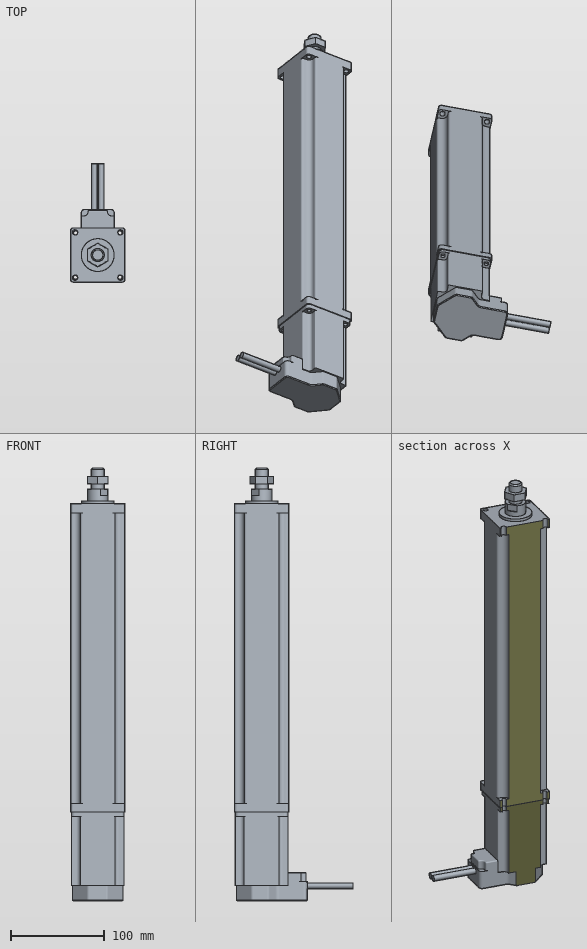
import cadquery as cq
import math

overall_height = 461.5
cap_height = 16.5
motor_length = 78.5
housing_length = 328.5
boss_height = 3.0
motor_bottom = cap_height
joint_level = motor_bottom + motor_length
housing_top = joint_level + housing_length
rod_bottom = housing_top + boss_height

housing_width = 58.0
top_plate_thickness = 10.0
bottom_plate_thickness = 9.0
plate_corner_radius = 3.0
housing_groove_offset = 24.25
housing_groove_radius = 5.7
housing_edge_radius = 2.5
top_hole_diameter = 5.5
boss_diameter = 35.0

motor_width = 56.4
motor_flange_thickness = 5.0
motor_corner_radius = 4.0
motor_hole_offset = 47.14 / 2
motor_hole_diameter = 4.5
motor_groove_offset = 22.6
motor_groove_radius = 4.0
motor_edge_radius = 1.0

cap_half_width = 27.0
cap_corner_cut = 16.7
cap_rear_cut_start = 7.5
cap_edge_radius = 3.25
cap_neck_radius = 5.5
connector_half_width = 17.7
connector_rear = 48.8
connector_height = 30.3
connector_corner_radius = 4.0
connector_edge_radius = 1.4
bottom_chamfer = 1.0
notch_floor = 20.7
notch_inner_x = 10.4
notch_front = 41.8
notch_radius = 4.0
ledge_depth = 1.4

cable_end = 97.32
cable_diameter = 6.5
cable_pitch = 7.35
cable_level = 16.2

rod_diameter = 22.0
rod_shoulder_height = 12.5
thread_diameter = 14.0
thread_chamfer = 1.5
flat_width = 19.0
flat_height = 7.0
flat_angle = 135.0
nut_width = 22.0
nut_thickness = 8.0
nut_gap = 5.5
nut_angle = 30.0


def box_between(x_min, x_max, y_min, y_max, z_min, z_max):
    """Axis-aligned box given by its limits."""
    box = cq.Workplane("XY").box(x_max - x_min, y_max - y_min, z_max - z_min, centered=False)
    return box.translate((x_min, y_min, z_min))


def square_prism(width, bottom, height):
    """Square block centred on the axis."""
    return cq.Workplane("XY").workplane(offset=bottom).rect(width, width).extrude(height)


def corner_points(offset):
    """The four points at +-offset in X and Y."""
    return [(sx * offset, sy * offset) for sx in (-1, 1) for sy in (-1, 1)]


def corner_grooves(width, groove_offset, groove_radius, edge_radius, bottom, height):
    """Material missing from the four corners of a square profile, to let the corner screws in."""
    half = width / 2
    wall = groove_offset - groove_radius
    outer = half + edge_radius
    diagonal = groove_offset - groove_radius * math.sqrt(0.5)
    groove = (
        cq.Workplane("XY").workplane(offset=bottom)
        .moveTo(wall - edge_radius, half)
        .radiusArc((wall, half - edge_radius), edge_radius)
        .lineTo(wall, groove_offset)
        .threePointArc((diagonal, diagonal), (groove_offset, wall))
        .lineTo(half - edge_radius, wall)
        .radiusArc((half, wall - edge_radius), edge_radius)
        .lineTo(outer, wall - edge_radius)
        .lineTo(outer, outer)
        .lineTo(wall - edge_radius, outer)
        .close()
        .extrude(height)
    )
    grooves = groove
    for turn in (90, 180, 270):
        grooves = grooves.union(groove.rotate((0, 0, 0), (0, 0, 1), turn))
    return grooves


def mirrored_vertical_edges(points):
    """Selector for the vertical edges at these (x, y) points and at their mirror images in X."""
    reach = 0.1
    selector = None
    for x, y in points:
        for px in (-x, x):
            low = (px - reach, y - reach, 0)
            high = (px + reach, y + reach, overall_height)
            box = cq.selectors.BoxSelector(low, high)
            selector = box if selector is None else selector + box
    return selector


def make_housing():
    """Extruded cylinder housing with square end plates and a round boss on top."""
    top_plate_bottom = housing_top - top_plate_thickness
    bottom_plate_top = joint_level + bottom_plate_thickness

    housing = square_prism(housing_width, joint_level, housing_length)
    housing = housing.edges("|Z").fillet(plate_corner_radius)
    housing = housing.cut(corner_grooves(
        housing_width, housing_groove_offset, housing_groove_radius, housing_edge_radius,
        bottom_plate_top, top_plate_bottom - bottom_plate_top))

    top_holes = (
        cq.Workplane("XY").workplane(offset=top_plate_bottom)
        .pushPoints(corner_points(housing_groove_offset))
        .circle(top_hole_diameter / 2).extrude(top_plate_thickness)
    )
    bottom_holes = (
        cq.Workplane("XY").workplane(offset=joint_level)
        .pushPoints(corner_points(motor_hole_offset))
        .circle(motor_hole_diameter / 2).extrude(bottom_plate_thickness)
    )
    boss = cq.Workplane("XY").workplane(offset=housing_top).circle(boss_diameter / 2).extrude(boss_height)
    return housing.cut(top_holes).cut(bottom_holes).union(boss)


def make_motor_body():
    """Square motor body with a mounting flange at its top end."""
    flange_bottom = joint_level - motor_flange_thickness
    body = square_prism(motor_width, motor_bottom, motor_length)
    body = body.edges("|Z").fillet(motor_corner_radius)
    body = body.cut(corner_grooves(
        motor_width, motor_groove_offset, motor_groove_radius, motor_edge_radius,
        motor_bottom, flange_bottom - motor_bottom))
    holes = (
        cq.Workplane("XY").workplane(offset=flange_bottom)
        .pushPoints(corner_points(motor_hole_offset))
        .circle(motor_hole_diameter / 2).extrude(motor_flange_thickness)
    )
    return body.cut(holes)


def make_cap():
    """End cap with 45 degree corners, running straight into the lower part of the connector."""
    front_corner = cap_half_width - cap_corner_cut
    neck_y = cap_rear_cut_start + cap_half_width - connector_half_width
    right_side = [
        (front_corner, -cap_half_width),
        (cap_half_width, -front_corner),
        (cap_half_width, cap_rear_cut_start),
        (connector_half_width, neck_y),
        (connector_half_width, connector_rear),
    ]
    left_side = [(-x, y) for x, y in reversed(right_side)]
    cap = cq.Workplane("XY").polyline(right_side + left_side).close().extrude(cap_height)

    cap = cap.edges(mirrored_vertical_edges(right_side[:3])).fillet(cap_edge_radius)
    cap = cap.edges(mirrored_vertical_edges(right_side[3:4])).fillet(cap_neck_radius)
    cap = cap.edges(mirrored_vertical_edges(right_side[4:])).fillet(connector_corner_radius)
    return cap.faces("<Z").edges().chamfer(bottom_chamfer)


def make_connector_top():
    """Upper part of the connector, standing on the cap against the rear of the motor."""
    motor_rear = motor_width / 2
    upper_rear = connector_rear - ledge_depth
    lower = box_between(-connector_half_width, connector_half_width, motor_rear, connector_rear,
                        cap_height, notch_floor)
    lower = lower.edges("|Z and >Y").fillet(connector_corner_radius)
    upper = box_between(-connector_half_width, connector_half_width,
                        motor_rear, upper_rear, notch_floor, connector_height)
    notch = box_between(notch_inner_x, connector_half_width + notch_radius,
                        notch_front, connector_rear, notch_floor, connector_height)
    notch = notch.edges("|Z and <X and <Y").fillet(notch_radius)
    upper = upper.cut(notch).cut(notch.mirror("YZ"))

    notch_corners = [(notch_inner_x, upper_rear), (connector_half_width, notch_front)]
    upper = upper.edges(mirrored_vertical_edges(notch_corners)).fillet(connector_edge_radius)
    upper = upper.faces(">Z").edges("not <Y").fillet(connector_edge_radius)
    return lower.union(upper)


def make_cables():
    """Two parallel cables leaving the rear of the connector."""
    start = connector_rear - ledge_depth
    return (
        cq.Workplane("XZ", origin=(0, start, cable_level))
        .pushPoints([(-cable_pitch / 2, 0), (cable_pitch / 2, 0)])
        .circle(cable_diameter / 2).extrude(start - cable_end)
    )


def make_motor():
    """Motor with its end cap, connector and cables."""
    return make_motor_body().union(make_cap()).union(make_connector_top()).union(make_cables())


def make_rod():
    """Piston rod with wrench flats, a threaded end and its lock nut."""
    shoulder_level = rod_bottom + rod_shoulder_height
    nut_bottom = shoulder_level + nut_gap

    shoulder = cq.Workplane("XY").workplane(offset=rod_bottom).circle(rod_diameter / 2)
    shoulder = shoulder.extrude(rod_shoulder_height)

    flat_bottom = shoulder_level - flat_height
    ring = cq.Workplane("XY").workplane(offset=flat_bottom).circle(rod_diameter).extrude(flat_height)
    between_flats = (
        cq.Workplane("XY").workplane(offset=flat_bottom)
        .transformed(rotate=(0, 0, flat_angle))
        .rect(flat_width, 2 * rod_diameter).extrude(flat_height)
    )
    shoulder = shoulder.cut(ring.cut(between_flats))

    thread = cq.Workplane("XY").workplane(offset=shoulder_level).circle(thread_diameter / 2)
    thread = thread.extrude(overall_height - shoulder_level).faces(">Z").chamfer(thread_chamfer)
    nut_across_corners = nut_width / math.cos(math.pi / 6)
    nut = (
        cq.Workplane("XY").workplane(offset=nut_bottom)
        .transformed(rotate=(0, 0, nut_angle))
        .polygon(6, nut_across_corners).extrude(nut_thickness)
    )
    return shoulder.union(thread).union(nut)


housing = make_housing()
motor = make_motor()
rod = make_rod()

result = cq.Compound.makeCompound([housing.val(), motor.val(), rod.val()])